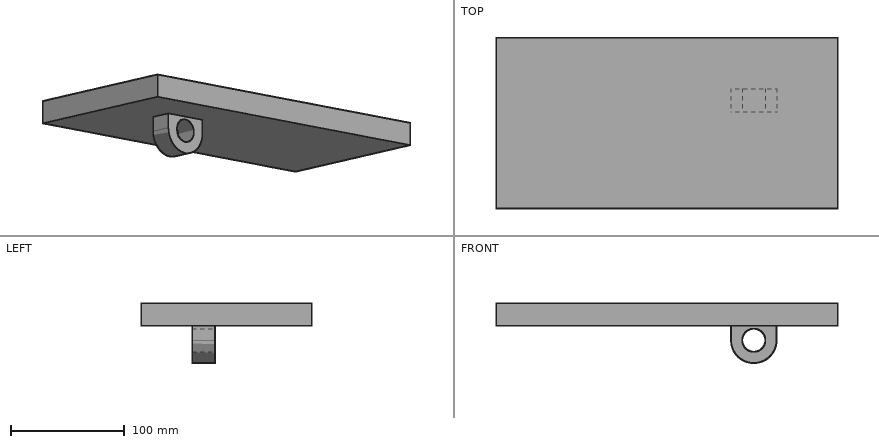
import cadquery as cq

plate_length = 300.0
plate_width = plate_length / 2
plate_thickness = 20.0

lug_radius = 20.0
lug_thickness = 20.0
lug_x = 76.2
lug_y = 20.0
hole_drop = 12.5
hole_radius = lug_radius / 2


def make_plate():
    return cq.Workplane("XY").box(
        plate_length, plate_width, plate_thickness, centered=(True, True, False)
    )


def make_lug():
    back_face_y = lug_y + lug_thickness / 2
    profile = (
        cq.Workplane("XZ", origin=(lug_x, back_face_y, 0))
        .moveTo(-lug_radius, 0)
        .lineTo(-lug_radius, -hole_drop)
        .threePointArc((0, -hole_drop - lug_radius), (lug_radius, -hole_drop))
        .lineTo(lug_radius, 0)
        .close()
    )
    pin_hole = (
        cq.Workplane("XZ", origin=(lug_x, back_face_y, -hole_drop))
        .circle(hole_radius)
        .extrude(lug_thickness)
    )
    return profile.extrude(lug_thickness).cut(pin_hole)


result = make_plate().union(make_lug())